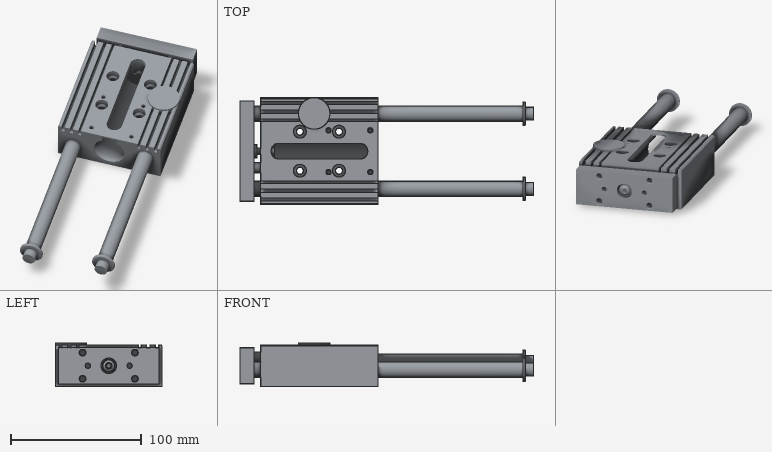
import cadquery as cq
import math

overall_length = 225.0
plate_thickness = 11.0
plate_width = 77.0
plate_height = 28.0
housing_start = 16.0
housing_length = 90.0
housing_width = 82.0
housing_height = 32.0
housing_end = housing_start + housing_length
housing_mid_x = housing_start + housing_length / 2
axis_z = housing_height / 2

rod_diameter = 12.0
rod_y = 28.8
rod_z_offset = 3.04
ring_diameter = 18.0
ring_thickness = 2.0
ring_chamfer = 0.7
tip_diameter = 10.0
tip_length = 6.0
ring_end = overall_length - tip_length
ring_start = ring_end - ring_thickness
rod_positions = [(rod_y, axis_z + rod_z_offset), (-rod_y, axis_z - rod_z_offset)]

piston_rod_diameter = 5.0
collar_diameter = 10.5
collar_length = 2.0
pin_diameter = 8.0
pin_y = -12.5
pin_z = 22.5

recess_diameter = 12.0
recess_depth = 6.8
screw_diameter = 10.0
screw_bevel_diameter = 9.0
screw_face_diameter = 5.0
screw_face_depth = 1.0
screw_shoulder_depth = screw_face_depth + (screw_bevel_diameter - screw_face_diameter) / 2
screw_socket_diameter = 3.5
screw_socket_depth = 2.2

plate_tap_diameter = 4.5
plate_tap_mouth = 5.2
plate_tap_y = 20.0
plate_tap_z_offset = 10.01
dowel_hole_diameter = 4.0
dowel_hole_y = 16.0

bore_diameter = 24.0
bore_start = 26.5
slot_length = 74.0
slot_width = 12.0

relief_start = housing_mid_x + (slot_length - slot_width) / 2
relief_width = 11.2
relief_roof = 1.5

mount_hole_diameter = 5.2
mount_counterbore_diameter = 10.0
mount_counterbore_depth = 5.0
mount_pitch = 30.0

top_tap_diameter = 3.2
top_tap_mouth = 4.0
top_tap_depth = 6.0
top_tap_pitch = 32.0
top_tap_first_x = 68.0
drill_point_angle = 118

grooves = [(22.7, 2.0), (29.0, 2.5), (35.8, 2.5)]
groove_depth = 5.0
top_edge_chamfer = 1.0

disc_diameter = 24.0
disc_projection = 1.5
disc_x = 57.0
disc_y = (housing_width - disc_diameter) / 2


def rod_along_x(diameter, x_start, x_end, y, z):
    """Round bar parallel to X."""
    return (
        cq.Workplane("YZ", origin=(x_start, y, z))
        .circle(diameter / 2)
        .extrude(x_end - x_start)
    )


def rod_along_z(diameter, z_start, z_end, x, y):
    """Round bar parallel to Z."""
    return (
        cq.Workplane("XY", origin=(x, y, z_start))
        .circle(diameter / 2)
        .extrude(z_end - z_start)
    )


def guide_rod(y, z):
    """Guide rod with a chamfered retaining ring and a reduced tip."""
    bar = rod_along_x(rod_diameter, plate_thickness, ring_start, y, z)
    ring = rod_along_x(ring_diameter, ring_start, ring_end, y, z).faces(">X").chamfer(ring_chamfer)
    tip = rod_along_x(tip_diameter, ring_end, overall_length, y, z)
    return bar.union(ring).union(tip)


def plate_tapped_hole(y, z):
    """Through hole in the front plate with a countersunk mouth."""
    hole_radius = plate_tap_diameter / 2
    mouth_radius = plate_tap_mouth / 2
    mouth_depth = mouth_radius - hole_radius
    profile = [
        (0, 0),
        (0, mouth_radius),
        (mouth_depth, hole_radius),
        (plate_thickness, hole_radius),
        (plate_thickness, 0),
    ]
    return (
        cq.Workplane("XY")
        .polyline(profile)
        .close()
        .revolve(360, (0, 0), (1, 0))
        .translate((0, y, z))
    )


def recessed_screw():
    """Shouldered screw end with a bevelled, socketed nose, standing on the floor of the plate recess."""
    shoulder = rod_along_x(screw_diameter, screw_shoulder_depth, recess_depth, 0, axis_z)
    nose = (
        cq.Workplane("YZ", origin=(screw_face_depth, 0, axis_z))
        .circle(screw_face_diameter / 2)
        .workplane(offset=screw_shoulder_depth - screw_face_depth)
        .circle(screw_bevel_diameter / 2)
        .loft()
    )
    socket_end = screw_face_depth + screw_socket_depth
    socket = rod_along_x(screw_socket_diameter, screw_face_depth, socket_end, 0, axis_z)
    return shoulder.union(nose).cut(socket)


def build_carriage():
    """Front plate together with the rods that slide in the housing."""
    plate = cq.Workplane("XY").box(plate_thickness, plate_width, plate_height)
    plate = plate.translate((plate_thickness / 2, 0, axis_z))
    for side in (-1, 1):
        for level in (-1, 1):
            plate = plate.cut(plate_tapped_hole(side * plate_tap_y, axis_z + level * plate_tap_z_offset))
        plate = plate.cut(rod_along_x(dowel_hole_diameter, 0, plate_thickness, side * dowel_hole_y, axis_z))
    plate = plate.cut(rod_along_x(recess_diameter, 0, recess_depth, 0, axis_z))
    plate = plate.union(recessed_screw())
    for y, z in rod_positions:
        plate = plate.union(guide_rod(y, z))
    collar_end = plate_thickness + collar_length
    plate = plate.union(rod_along_x(collar_diameter, plate_thickness, collar_end, 0, axis_z))
    plate = plate.union(rod_along_x(piston_rod_diameter, plate_thickness, bore_start, 0, axis_z))
    return plate.union(rod_along_x(pin_diameter, plate_thickness, bore_start, pin_y, pin_z))


def housing_block():
    """Rectangular block with chamfered long top edges and lengthwise grooves."""
    block = cq.Workplane("XY").box(housing_length, housing_width, housing_height)
    block = block.edges("|X and >Z").chamfer(top_edge_chamfer)
    block = block.translate((housing_mid_x, 0, axis_z))
    for side in (-1, 1):
        for inner_wall, width in grooves:
            groove = cq.Workplane("XY").box(housing_length, width, groove_depth)
            groove_y = side * (inner_wall + width / 2)
            block = block.cut(groove.translate((housing_mid_x, groove_y, housing_height - groove_depth / 2)))
    return block


def bore_relief():
    """Rectangular channel from the bore axis up to a thin roof below the housing top."""
    length = housing_end - relief_start
    height = housing_height - relief_roof - axis_z
    channel = cq.Workplane("XY").box(length, relief_width, height)
    return channel.translate((relief_start + length / 2, 0, axis_z + height / 2))


def mounting_hole(x, y):
    """Counterbored hole straight through the housing."""
    hole = rod_along_z(mount_hole_diameter, 0, housing_height, x, y)
    counterbore_floor = housing_height - mount_counterbore_depth
    return hole.union(rod_along_z(mount_counterbore_diameter, counterbore_floor, housing_height, x, y))


def top_tapped_hole(x, y):
    """Blind hole in the housing top with a countersunk mouth and a drill point."""
    hole_radius = top_tap_diameter / 2
    mouth_radius = top_tap_mouth / 2
    mouth_depth = mouth_radius - hole_radius
    point_depth = hole_radius / math.tan(math.radians(drill_point_angle / 2))
    profile = [
        (0, 0),
        (mouth_radius, 0),
        (hole_radius, -mouth_depth),
        (hole_radius, -top_tap_depth),
        (0, -top_tap_depth - point_depth),
    ]
    return (
        cq.Workplane("XZ")
        .polyline(profile)
        .close()
        .revolve(360, (0, 0), (0, 1))
        .translate((x, y, housing_height))
    )


def build_housing():
    """Grooved housing with its bore, slot, holes and top disc."""
    body = housing_block()
    disc_base = housing_height - groove_depth
    body = body.union(rod_along_z(disc_diameter, disc_base, housing_height + disc_projection, disc_x, disc_y))
    body = body.cut(rod_along_x(bore_diameter, bore_start, housing_end, 0, axis_z))
    slot = (
        cq.Workplane("XY", origin=(housing_mid_x, 0, axis_z))
        .slot2D(slot_length, slot_width)
        .extrude(housing_height - axis_z)
    )
    body = body.cut(slot).cut(bore_relief())
    for side in (-1, 1):
        for end in (-1, 1):
            body = body.cut(mounting_hole(housing_mid_x + end * mount_pitch / 2, side * mount_pitch / 2))
        for step in (0, 1):
            body = body.cut(top_tapped_hole(top_tap_first_x + step * top_tap_pitch, side * top_tap_pitch / 2))
    for y, z in rod_positions:
        body = body.cut(rod_along_x(rod_diameter, housing_start, housing_end, y, z))
    body = body.cut(rod_along_x(piston_rod_diameter, housing_start, bore_start, 0, axis_z))
    return body.cut(rod_along_x(pin_diameter, housing_start, bore_start, pin_y, pin_z))


carriage = build_carriage()
housing = build_housing()
result = cq.Compound.makeCompound([carriage.val(), housing.val()])